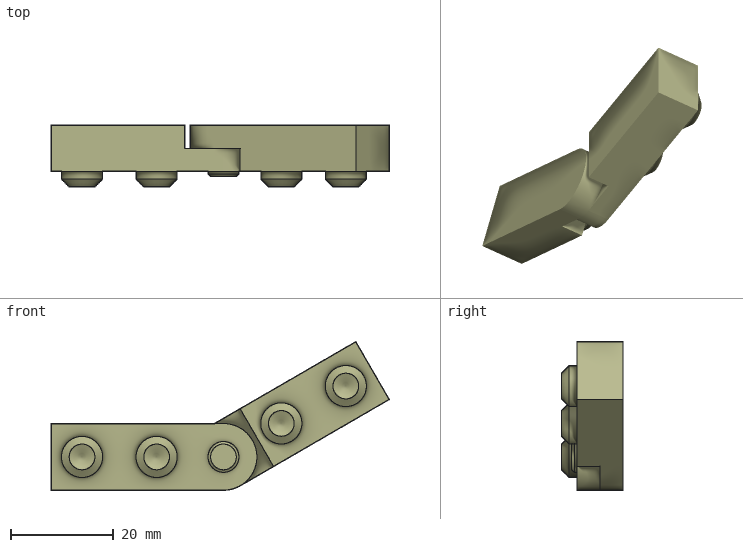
import cadquery as cq


ARM_WIDTH = 13.0
ARM_THICKNESS = 9.0
ARM_LENGTH = 33.5
END_RADIUS = ARM_WIDTH / 2
LAP_THICKNESS = ARM_THICKNESS / 2
LAP_CLEARANCE = 1.0
SHOULDER = END_RADIUS + LAP_CLEARANCE
SWING_ANGLE = 30.08

PIN_DIAMETER = 6.0
PIN_PROTRUSION = 1.0
PIN_CHAMFER = 0.5

STUD_RADIUS = 4.0
STUD_PROTRUSION = 3.0
STUD_CHAMFER = 1.5
STUD_RIM_RADIUS = STUD_RADIUS - STUD_CHAMFER
STUD_CONE_DEPTH = 1.45
STUD_DISTANCES = (13.0, 27.5)


def slab(profile, y_start, thickness):
    """Extrude an XZ profile toward +Y from y_start."""
    return profile.extrude(-thickness).translate((0, y_start, 0))


def make_arm(lap_y):
    """Arm along +X from the pivot with its pin and stud holes; its half-thickness lap starts at Y = lap_y."""
    block_length = ARM_LENGTH - SHOULDER
    block_profile = (
        cq.Workplane("XZ")
        .center(SHOULDER + block_length / 2, 0)
        .rect(block_length, ARM_WIDTH)
    )
    lap_profile = (
        cq.Workplane("XZ")
        .moveTo(SHOULDER, END_RADIUS)
        .lineTo(0, END_RADIUS)
        .threePointArc((-END_RADIUS, 0), (0, -END_RADIUS))
        .lineTo(SHOULDER, -END_RADIUS)
        .close()
    )
    pin_hole_profile = cq.Workplane("XZ").circle(PIN_DIAMETER / 2)
    stud_hole_profile = (
        cq.Workplane("XZ")
        .pushPoints([(distance, 0) for distance in STUD_DISTANCES])
        .circle(STUD_RADIUS)
    )
    pin_hole = slab(pin_hole_profile, 0, ARM_THICKNESS)
    stud_holes = slab(stud_hole_profile, 0, ARM_THICKNESS)
    block = slab(block_profile, 0, ARM_THICKNESS)
    lap = slab(lap_profile, lap_y, LAP_THICKNESS)
    return block.union(lap).cut(pin_hole).cut(stud_holes)


def make_pin():
    """Straight pin through both laps, chamfered at its protruding front end."""
    pin_profile = cq.Workplane("XZ").circle(PIN_DIAMETER / 2)
    pin = slab(pin_profile, -PIN_PROTRUSION, PIN_PROTRUSION + ARM_THICKNESS)
    return pin.faces("<Y").chamfer(PIN_CHAMFER)


def make_stud(distance):
    """Chamfered stud with a conical recess reaching its rim, at a distance along +X."""
    half_section = (
        cq.Workplane("XY")
        .moveTo(0, ARM_THICKNESS)
        .lineTo(STUD_RADIUS, ARM_THICKNESS)
        .lineTo(STUD_RADIUS, STUD_CHAMFER - STUD_PROTRUSION)
        .lineTo(STUD_RIM_RADIUS, -STUD_PROTRUSION)
        .lineTo(0, STUD_CONE_DEPTH - STUD_PROTRUSION)
        .close()
    )
    return half_section.revolve(360, (0, 0, 0), (0, 1, 0)).translate((distance, 0, 0))


def turn(body, angle):
    """Rotate a body about the pivot, from +X toward +Z."""
    return body.rotate((0, 0, 0), (0, 1, 0), -angle)


fixed_arm = turn(make_arm(0), 180)
swung_arm = turn(make_arm(LAP_THICKNESS), SWING_ANGLE)
hinge_pin = make_pin()

studs = []
for arm_angle in (180, SWING_ANGLE):
    for stud_distance in STUD_DISTANCES:
        studs.append(turn(make_stud(stud_distance), arm_angle))

result = cq.Compound.makeCompound(
    [fixed_arm.val(), swung_arm.val(), hinge_pin.val(), *[stud.val() for stud in studs]]
)